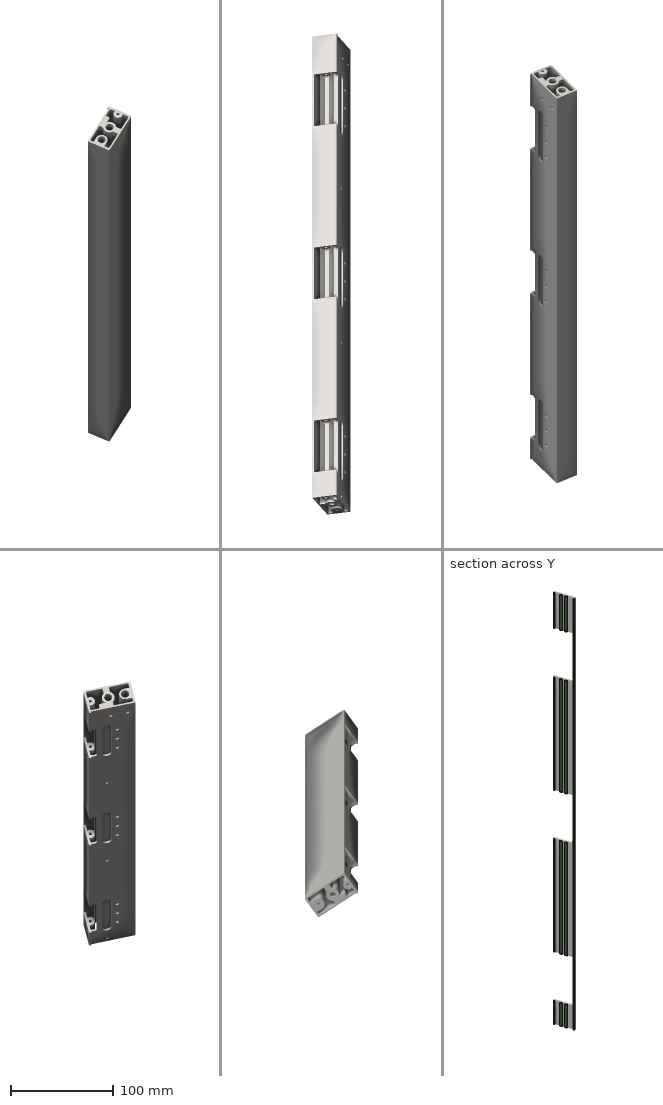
import cadquery as cq

length = 485.0
width_with_lip = 25.0
depth = 47.0
lip_overhang = 1.2

side_wall = 1.7
flange = 2.2
corner_radius = 1.0
lip_corner_radius = 1.5
cavity_radius = 1.5

right = width_with_lip / 2
lip_left = -right
left = lip_left + lip_overhang
back = depth / 2
front = -back

web_centre_y = 1.5
web_thickness = 6.5
block_width = 6.5
block_top_y = 12.0
block_radius = 1.5

centre_boss_y = web_centre_y
centre_boss_diameter = 12.5
front_boss_y = -15.5
front_boss_diameter = 11.5
back_boss_y = 19.5
back_boss_diameter = 9.0

centre_bore = 5.5
centre_counterbore = 8.0
front_bore = 2.5
front_counterbore = 8.0
counterbore_depth = 24.2
back_bore = 3.0

station_spacing = 182.0
middle_station_z = 235.5
station_heights = [middle_station_z + step * station_spacing for step in (-1, 0, 1)]

window_height = 54.5
window_depth_y = 8.2
window_radius = 2.5

slot_length = 63.0
slot_width = 8.5
slot_depth = 2.0
slot_y = 5.5

wall_hole_diameter = 4.0
wall_hole_y = -5.0
wall_hole_spacing = 19.0

cross_hole_diameter = 4.0
cross_hole_z = length - 17.5

locating_hole_diameter = 3.0
locating_hole_depth = 5.0
locating_hole_spacing = 162.0
lowest_locating_hole_z = 5.5
locating_hole_count = 3


def bar(x_min, x_max, y_min, y_max):
    """Full-length rectangular bar between the given X and Y limits."""
    blank = cq.Workplane("XY").box(x_max - x_min, y_max - y_min, length, centered=False)
    return blank.translate((x_min, y_min, 0))


def rod(y, diameter):
    """Full-length round rod on the profile's middle plane."""
    return cq.Workplane("XY").center(0, y).circle(diameter / 2).extrude(length)


def end_bore(y, diameter, bore_depth):
    """Round bore sunk from the top end."""
    return cq.Workplane("XY", origin=(0, y, length)).circle(diameter / 2).extrude(-bore_depth)


def side_hole(y, z, diameter, hole_depth):
    """Round hole drilled along +X from the left face."""
    return cq.Workplane("YZ", origin=(left, y, z)).circle(diameter / 2).extrude(hole_depth)


def make_profile():
    """Hollow walls with the lip, web, block and solid bosses."""
    inner_left = left + side_wall
    inner_right = right - side_wall
    inner_front = front + flange
    inner_back = back - flange

    outer = bar(left, right, front, back).union(bar(lip_left, right, inner_back, back))
    outer = outer.edges("|Z and (<Y or (>X and >Y))").fillet(corner_radius)
    outer = outer.edges("|Z and <X and >Y").fillet(lip_corner_radius)

    cavity = bar(inner_left, inner_right, inner_front, inner_back).edges("|Z").fillet(cavity_radius)
    shell = outer.cut(cavity)

    web_front = web_centre_y - web_thickness / 2
    web = bar(inner_left, inner_right, web_front, web_front + web_thickness)
    block = bar(left, left + block_width, web_front, block_top_y)
    block = block.edges("|Z and >X and >Y").fillet(block_radius)

    bosses = rod(centre_boss_y, centre_boss_diameter)
    bosses = bosses.union(rod(front_boss_y, front_boss_diameter))
    bosses = bosses.union(rod(back_boss_y, back_boss_diameter))

    neck_half_width = front_boss_diameter / 2
    neck = bar(-neck_half_width, neck_half_width, front + flange / 2, front_boss_y)
    envelope = bar(lip_left, right, front, back - flange / 2)
    return shell.union(web).union(block).union(neck).union(bosses.intersect(envelope))


def drill_bosses(body):
    """Through bores, with wider mouths at the top of the centre and front bosses."""
    body = body.cut(rod(centre_boss_y, centre_bore))
    body = body.cut(end_bore(centre_boss_y, centre_counterbore, counterbore_depth))
    body = body.cut(rod(front_boss_y, front_bore))
    body = body.cut(end_bore(front_boss_y, front_counterbore, counterbore_depth))
    return body.cut(rod(back_boss_y, back_bore))


def machine_station(body, z):
    """Corner window, shallow slot and three wall holes around one height."""
    window_reach = right - side_wall - lip_left
    window = cq.Workplane("XY").box(
        window_reach, window_depth_y, window_height, centered=(False, False, True)
    )
    window = window.edges("|X and <Y").fillet(window_radius)
    body = body.cut(window.translate((lip_left, back - window_depth_y, z)))

    slot = cq.Workplane("YZ", origin=(left, slot_y, z))
    slot = slot.slot2D(slot_length, slot_width, angle=90).extrude(slot_depth)
    body = body.cut(slot)

    for step in (-1, 0, 1):
        hole_z = z + step * wall_hole_spacing
        body = body.cut(side_hole(wall_hole_y, hole_z, wall_hole_diameter, side_wall))
    return body


result = drill_bosses(make_profile())

for station_z in station_heights:
    result = machine_station(result, station_z)

for boss_y in (centre_boss_y, front_boss_y):
    result = result.cut(side_hole(boss_y, cross_hole_z, cross_hole_diameter, -left))

for index in range(locating_hole_count):
    hole_height = lowest_locating_hole_z + index * locating_hole_spacing
    result = result.cut(side_hole(slot_y, hole_height, locating_hole_diameter, locating_hole_depth))